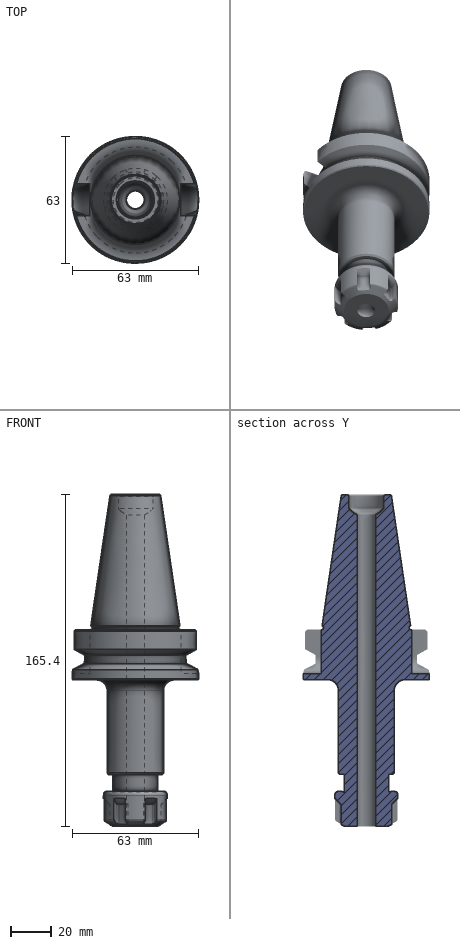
import cadquery as cq
import math

TOTAL_HEIGHT = 165.4
TAPER_LENGTH = 65.3
GAUGE_Z = TOTAL_HEIGHT - TAPER_LENGTH
FLANGE_TOP_Z = 98.0
FLANGE_BOTTOM_Z = 73.0
SHANK_BOTTOM_Z = 25.8
NUT_TOP_Z = 17.5

GAUGE_RADIUS = 22.2
TAPER_SLOPE = 7 / 48
TAPER_TOP_RADIUS = GAUGE_RADIUS - TAPER_LENGTH * TAPER_SLOPE
TAPER_TOP_CHAMFER = 0.7

RELIEF_RADIUS = 21.5
RELIEF_BEVEL = GAUGE_RADIUS - RELIEF_RADIUS
RELIEF_FILLET = GAUGE_RADIUS - RELIEF_RADIUS

FLANGE_RADIUS = 31.51
FLANGE_TOP_CHAMFER = 1.0
FLANGE_BOTTOM_CHAMFER = 0.5
GROOVE_RADIUS = 26.5
GROOVE_MIDDLE_Z = 83.2
GROOVE_FLOOR_HEIGHT = 4.3
GROOVE_FLANK_ANGLE = 30
GROOVE_BEVEL = (FLANGE_RADIUS - GROOVE_RADIUS) * math.tan(math.radians(GROOVE_FLANK_ANGLE))
GROOVE_FLOOR_TOP_Z = GROOVE_MIDDLE_Z + GROOVE_FLOOR_HEIGHT / 2
GROOVE_FLOOR_BOTTOM_Z = GROOVE_MIDDLE_Z - GROOVE_FLOOR_HEIGHT / 2

DRIVE_SLOT_WIDTH = 16.0
DRIVE_SLOT_FACE_X = 22.7
DRIVE_SLOT_BOTTOM_Z = 76.2

SHANK_RADIUS = 14.0
SHANK_FILLET = 5.1
SHANK_BOTTOM_CHAMFER = 0.8
NECK_RADIUS = 11.2

NUT_RADIUS = 15.9
NUT_TOP_ROUND = 2.0
NUT_MOUTH_RADIUS = 12.4
NUT_MOUTH_DEPTH = 0.3
NUT_BOTTOM_RADIUS = 11.0
NUT_CONE_ANGLE = 30
NUT_CONE_HEIGHT = (NUT_RADIUS - NUT_BOTTOM_RADIUS) * math.tan(math.radians(NUT_CONE_ANGLE))
NUT_EDGE_ROUND = 1.3

WRENCH_SLOT_COUNT = 6
WRENCH_SLOT_WIDTH = 6.6
WRENCH_SLOT_FLOOR_RADIUS = 12.7
WRENCH_SLOT_TOP_Z = 14.0
WRENCH_SLOT_CORNER = 1.0

MOUTH_RADIUS = 9.5
BORE_RADIUS = 8.6
BORE_DEPTH = 7.0
STEP_RADIUS = 7.0
THROUGH_RADIUS = 4.5
DRILL_TIP_ANGLE = 118


def revolve_profile(profile):
    """Close a half outline and turn it about the Z axis."""
    return profile.close().revolve(360, (0, 0, 0), (0, 1, 0))


def make_arbor():
    """Taper, flange, shank and neck as one turned body."""
    neck_end_z = NUT_TOP_Z / 2
    profile = (
        cq.Workplane("XZ")
        .moveTo(0, TOTAL_HEIGHT)
        .lineTo(TAPER_TOP_RADIUS - TAPER_TOP_CHAMFER, TOTAL_HEIGHT)
        .lineTo(TAPER_TOP_RADIUS, TOTAL_HEIGHT - TAPER_TOP_CHAMFER)
        .lineTo(GAUGE_RADIUS, GAUGE_Z)
        .lineTo(RELIEF_RADIUS, GAUGE_Z - RELIEF_BEVEL)
        .lineTo(RELIEF_RADIUS, FLANGE_TOP_Z + RELIEF_FILLET)
        .radiusArc((RELIEF_RADIUS + RELIEF_FILLET, FLANGE_TOP_Z), -RELIEF_FILLET)
        .lineTo(FLANGE_RADIUS - FLANGE_TOP_CHAMFER, FLANGE_TOP_Z)
        .lineTo(FLANGE_RADIUS, FLANGE_TOP_Z - FLANGE_TOP_CHAMFER)
        .lineTo(FLANGE_RADIUS, GROOVE_FLOOR_TOP_Z + GROOVE_BEVEL)
        .lineTo(GROOVE_RADIUS, GROOVE_FLOOR_TOP_Z)
        .lineTo(GROOVE_RADIUS, GROOVE_FLOOR_BOTTOM_Z)
        .lineTo(FLANGE_RADIUS, GROOVE_FLOOR_BOTTOM_Z - GROOVE_BEVEL)
        .lineTo(FLANGE_RADIUS, FLANGE_BOTTOM_Z + FLANGE_BOTTOM_CHAMFER)
        .lineTo(FLANGE_RADIUS - FLANGE_BOTTOM_CHAMFER, FLANGE_BOTTOM_Z)
        .lineTo(SHANK_RADIUS + SHANK_FILLET, FLANGE_BOTTOM_Z)
        .radiusArc((SHANK_RADIUS, FLANGE_BOTTOM_Z - SHANK_FILLET), -SHANK_FILLET)
        .lineTo(SHANK_RADIUS, SHANK_BOTTOM_Z + SHANK_BOTTOM_CHAMFER)
        .lineTo(SHANK_RADIUS - SHANK_BOTTOM_CHAMFER, SHANK_BOTTOM_Z)
        .lineTo(NECK_RADIUS, SHANK_BOTTOM_Z)
        .lineTo(NECK_RADIUS, neck_end_z)
        .lineTo(0, neck_end_z)
    )
    return revolve_profile(profile)


def make_drive_slots():
    """Cutters for the two round-bottomed drive slots."""
    half_width = DRIVE_SLOT_WIDTH / 2
    arc_centre_z = DRIVE_SLOT_BOTTOM_Z + half_width
    cutter = (
        cq.Workplane("YZ", origin=(DRIVE_SLOT_FACE_X, 0, 0))
        .moveTo(-half_width, GAUGE_Z)
        .lineTo(-half_width, arc_centre_z)
        .threePointArc((0, DRIVE_SLOT_BOTTOM_Z), (half_width, arc_centre_z))
        .lineTo(half_width, GAUGE_Z)
        .close()
        .extrude(FLANGE_RADIUS)
    )
    return cutter.union(cutter.mirror("YZ"))


def make_wrench_slot():
    """Cutter on the +X side, with rounded floor corners and a 45 degree upper end."""
    depth = NUT_RADIUS - WRENCH_SLOT_FLOOR_RADIUS
    outside = 2 * depth
    return (
        cq.Workplane("XZ")
        .moveTo(WRENCH_SLOT_FLOOR_RADIUS, -outside)
        .lineTo(WRENCH_SLOT_FLOOR_RADIUS, WRENCH_SLOT_TOP_Z - depth)
        .line(outside, outside)
        .lineTo(WRENCH_SLOT_FLOOR_RADIUS + outside, -outside)
        .close()
        .extrude(WRENCH_SLOT_WIDTH / 2, both=True)
        .edges("<X and |Z")
        .fillet(WRENCH_SLOT_CORNER)
    )


def make_nut():
    """Clamping nut with a rounded top, a shallow mouth, a conical nose and wrench slots."""
    profile = (
        cq.Workplane("XZ")
        .lineTo(NUT_BOTTOM_RADIUS, 0)
        .lineTo(NUT_RADIUS, NUT_CONE_HEIGHT)
        .lineTo(NUT_RADIUS, NUT_TOP_Z - NUT_TOP_ROUND)
        .radiusArc((NUT_RADIUS - NUT_TOP_ROUND, NUT_TOP_Z), -NUT_TOP_ROUND)
        .lineTo(NUT_MOUTH_RADIUS, NUT_TOP_Z)
        .lineTo(NECK_RADIUS, NUT_TOP_Z - NUT_MOUTH_DEPTH)
        .lineTo(0, NUT_TOP_Z - NUT_MOUTH_DEPTH)
    )
    nut = revolve_profile(profile)
    reach = NUT_RADIUS + 1.7
    margin = 0.2
    cone_edge = cq.selectors.BoxSelector(
        (-reach, -reach, NUT_CONE_HEIGHT - margin),
        (reach, reach, NUT_CONE_HEIGHT + margin),
        boundingbox=True,
    )
    nut = nut.edges(cone_edge).fillet(NUT_EDGE_ROUND)
    slot = make_wrench_slot()
    for index in range(WRENCH_SLOT_COUNT):
        angle = index * 360 / WRENCH_SLOT_COUNT
        nut = nut.cut(slot.rotate((0, 0, 0), (0, 0, 1), angle))
    return nut


def make_bore():
    """Stepped bore that narrows to a straight hole through the whole part."""
    bore_floor_z = TOTAL_HEIGHT - BORE_DEPTH
    step_z = bore_floor_z - (BORE_RADIUS - STEP_RADIUS)
    tip_depth = (STEP_RADIUS - THROUGH_RADIUS) / math.tan(math.radians(DRILL_TIP_ANGLE / 2))
    profile = (
        cq.Workplane("XZ")
        .lineTo(THROUGH_RADIUS, 0)
        .lineTo(THROUGH_RADIUS, step_z - tip_depth)
        .lineTo(STEP_RADIUS, step_z)
        .lineTo(BORE_RADIUS, bore_floor_z)
        .lineTo(BORE_RADIUS, TOTAL_HEIGHT - (MOUTH_RADIUS - BORE_RADIUS))
        .lineTo(MOUTH_RADIUS, TOTAL_HEIGHT)
        .lineTo(0, TOTAL_HEIGHT)
    )
    return revolve_profile(profile)


arbor = make_arbor().cut(make_drive_slots())
result = arbor.union(make_nut()).cut(make_bore())